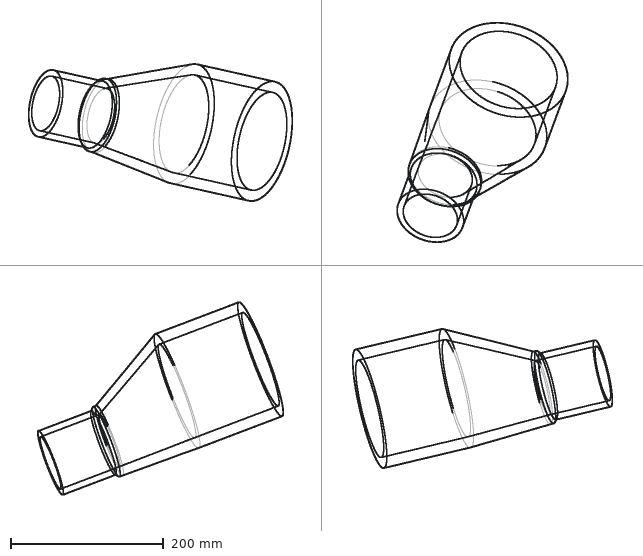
import cadquery as cq

total_length = 309.0
large_diameter = 160.0
large_wall = 14.5
small_diameter = 90.0
small_wall = 8.3
collar_diameter = 98.3

collar_start = 74.8
collar_full = 78.8
cone_start = 83.0
cone_end = 191.0

axis_offset = -(large_diameter - collar_diameter) / 2
large_bore = large_diameter - 2 * large_wall
small_bore = small_diameter - 2 * small_wall


def frustum(x_start, start_diameter, start_y, x_end, end_diameter, end_y):
    """Solid lofted between two circles in planes normal to X."""
    return (
        cq.Workplane("YZ", origin=(x_start, start_y, 0))
        .circle(start_diameter / 2)
        .workplane(offset=x_end - x_start)
        .center(end_y - start_y, 0)
        .circle(end_diameter / 2)
        .loft(ruled=True, combine=True)
    )


def cylinder(x_start, x_end, diameter, y):
    return cq.Workplane("YZ", origin=(x_start, y, 0)).circle(diameter / 2).extrude(x_end - x_start)


def outer_body():
    small_pipe = cylinder(0, collar_start, small_diameter, axis_offset)
    collar_bevel = frustum(
        collar_start, small_diameter, axis_offset, collar_full, collar_diameter, axis_offset
    )
    collar = cylinder(collar_full, cone_start, collar_diameter, axis_offset)
    cone = frustum(cone_start, collar_diameter, axis_offset, cone_end, large_diameter, 0)
    large_pipe = cylinder(cone_end, total_length, large_diameter, 0)
    return small_pipe.union(collar_bevel).union(collar).union(cone).union(large_pipe)


def bore():
    small_end = cylinder(0, cone_start, small_bore, axis_offset)
    taper = frustum(cone_start, small_bore, axis_offset, cone_end, large_bore, 0)
    large_end = cylinder(cone_end, total_length, large_bore, 0)
    return small_end.union(taper).union(large_end)


result = outer_body().cut(bore())